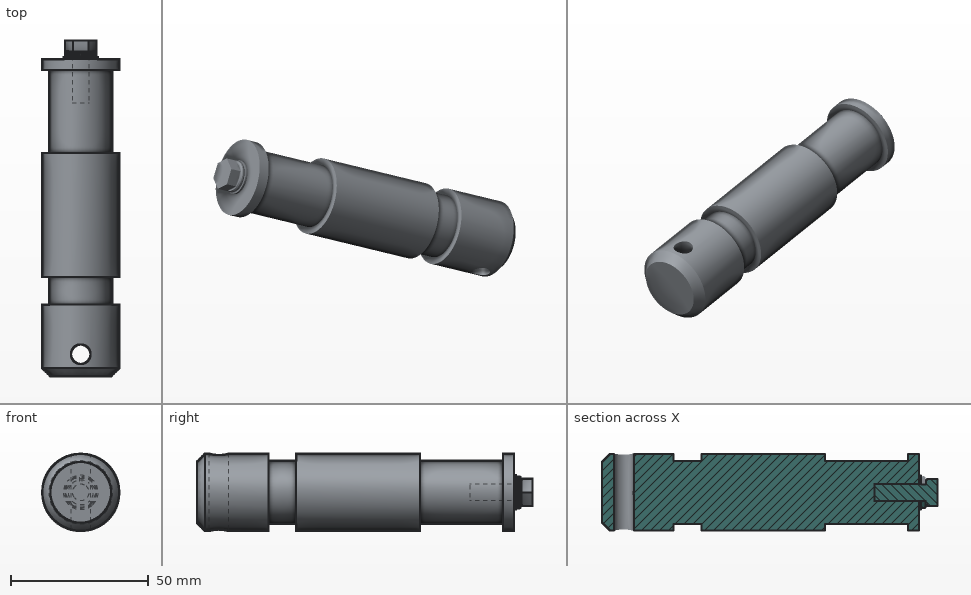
import cadquery as cq


pin_diameter = 28.0
neck_diameter = 23.0
nose_length = 26.0
groove_width = 10.0
middle_length = 45.0
neck_length = 30.0
flange_thickness = 4.0
pin_length = nose_length + groove_width + middle_length + neck_length + flange_thickness
nose_chamfer = 3.0
cross_hole_diameter = 7.0
cross_hole_from_end = 8.0

flat_washer_diameter = 12.5
flat_washer_thickness = 0.8

lock_washer_diameter = 11.6
lock_washer_thickness = 1.6
lock_washer_land = 0.5
lock_washer_bevel_depth = 0.3
lock_washer_gap = 0.9

bolt_diameter = 6.0
shank_depth_in_pin = 16.0
head_across_flats = 10.0
hexagon_height = 4.0
bearing_face_diameter = 9.0
bearing_face_height = 0.38

flat_washer_start = pin_length
lock_washer_start = flat_washer_start + flat_washer_thickness
bearing_face_start = lock_washer_start + lock_washer_thickness
hexagon_start = bearing_face_start + bearing_face_height
shank_start = pin_length - shank_depth_in_pin


def section_at(start):
    """Workplane across the Y axis at y = start, facing +Y, with its local x along Z."""
    return cq.Workplane(cq.Plane(origin=(0, start, 0), xDir=(0, 0, 1), normal=(0, 1, 0)))


def cylinder(diameter, start, length):
    """Round bar on the Y axis, reaching from y = start toward +Y."""
    return section_at(start).circle(diameter / 2).extrude(length)


def make_pin():
    """Stepped pin with an end flange, a chamfered nose, a cross hole and a blind bolt hole."""
    core = cylinder(neck_diameter, nose_length, pin_length - nose_length)
    nose = cylinder(pin_diameter, 0, nose_length).faces("<Y").chamfer(nose_chamfer)
    middle = cylinder(pin_diameter, nose_length + groove_width, middle_length)
    flange = cylinder(pin_diameter, pin_length - flange_thickness, flange_thickness)
    cross_hole = (
        cq.Workplane("XY")
        .center(0, cross_hole_from_end)
        .circle(cross_hole_diameter / 2)
        .extrude(pin_diameter, both=True)
    )
    bolt_hole = cylinder(bolt_diameter, shank_start, shank_depth_in_pin)
    return core.union(nose).union(middle).union(flange).cut(cross_hole).cut(bolt_hole)


def make_flat_washer():
    """Plain ring that lies on the flange."""
    ring = cylinder(flat_washer_diameter, flat_washer_start, flat_washer_thickness)
    return ring.cut(cylinder(bolt_diameter, flat_washer_start, flat_washer_thickness))


def make_lock_washer():
    """Ring whose rim tapers on both sides of a narrow land, split by a gap on its +Z side."""
    bevel_length = (lock_washer_thickness - lock_washer_land) / 2
    ring = (
        cylinder(lock_washer_diameter, lock_washer_start, lock_washer_thickness)
        .edges()
        .chamfer(bevel_length, lock_washer_bevel_depth)
    )
    ring = ring.cut(cylinder(bolt_diameter, lock_washer_start, lock_washer_thickness))
    gap = cq.Workplane("XY").box(
        lock_washer_gap,
        lock_washer_thickness,
        lock_washer_diameter,
        centered=(True, False, False),
    )
    return ring.cut(gap.translate((0, lock_washer_start, 0)))


def make_bolt():
    """Hexagon bolt with two corners of its head on the X axis."""
    hexagon = (
        section_at(hexagon_start)
        .polygon(6, head_across_flats, circumscribed=True)
        .extrude(hexagon_height)
    )
    bearing_face = cylinder(bearing_face_diameter, bearing_face_start, bearing_face_height)
    shank = cylinder(bolt_diameter, shank_start, bearing_face_start - shank_start)
    return hexagon.union(bearing_face).union(shank)


pin = make_pin()
flat_washer = make_flat_washer()
lock_washer = make_lock_washer()
bolt = make_bolt()

result = cq.Compound.makeCompound([pin.val(), flat_washer.val(), lock_washer.val(), bolt.val()])